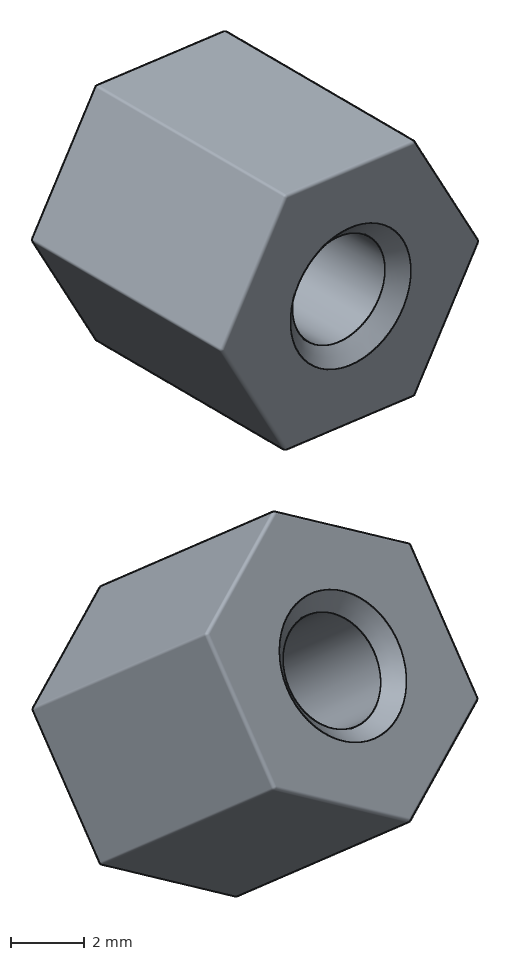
import cadquery as cq
import math

length = 8.0
across_flats = 8.0
edge_radius = 0.1

bore_diameter = 3.3
lead_in_diameter = 4.3
lead_in_depth = (lead_in_diameter - bore_diameter) / 2

across_corners = across_flats / math.cos(math.radians(30))


def hexagonal_body():
    """Hexagonal bar centred on the origin: flats facing +Z and -Z, all edges rounded."""
    bar = cq.Workplane("YZ").polygon(6, across_corners).extrude(length / 2, both=True)
    return bar.edges().fillet(edge_radius)


def bore_cutter():
    """Solid of revolution about X: the bore widening into a cone at each end."""
    bore_radius = bore_diameter / 2
    lead_in_radius = lead_in_diameter / 2
    end = length / 2
    cone_start = end - lead_in_depth
    half_profile = [
        (-end, 0),
        (-end, lead_in_radius),
        (-cone_start, bore_radius),
        (cone_start, bore_radius),
        (end, lead_in_radius),
        (end, 0),
    ]
    return cq.Workplane("XY").polyline(half_profile).close().revolve(360, (0, 0, 0), (1, 0, 0))


result = hexagonal_body().cut(bore_cutter())